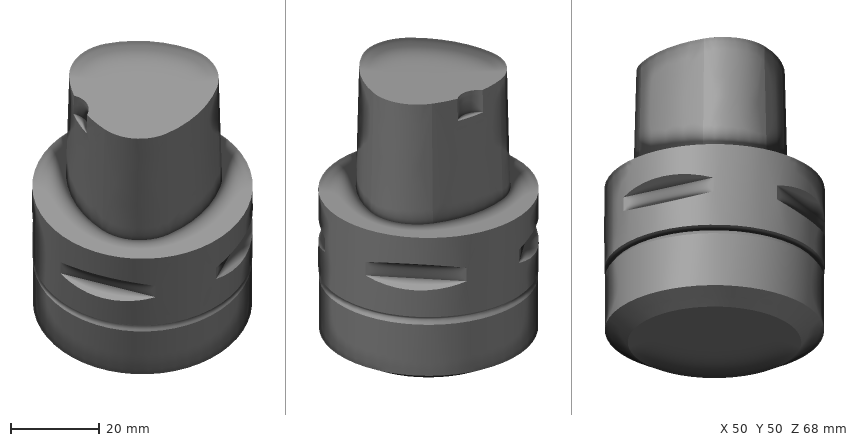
import cadquery as cq
import math

total_height = 68.0
cone_height = 3.0
nut_edge_z = 15.9
nut_top_z = 17.0
collar_bottom_z = 17.95
collar_top_z = 38.0

collar_radius = 50.0 / 2
nut_radius = 49.7 / 2
neck_radius = 40.0 / 2
cone_angle = 30.0
nut_chamfer_width = 0.8

lobe_radius = 12.05
lobe_center_distance = 6.6
flank_distance = 16.4
taper_ratio = 1 / 40

groove_count = 4
groove_start_angle = 45.0
groove_center_z = (collar_bottom_z + collar_top_z) / 2
groove_floor_distance = 22.2
groove_floor_height = 3.4
groove_wall_angle = 30.0

notch_width = 7.2
notch_depth = 5.6
notch_back_y = -13.9
notch_shoulder_y = -15.45


def polar(distance, angle):
    a = math.radians(angle)
    return (distance * math.cos(a), distance * math.sin(a))


def make_body():
    """Nut, neck and collar as one turned profile."""
    bottom_radius = nut_radius - cone_height / math.tan(math.radians(cone_angle))
    profile = [
        (0, 0),
        (bottom_radius, 0),
        (nut_radius, cone_height),
        (nut_radius, nut_edge_z),
        (nut_radius - nut_chamfer_width, nut_top_z),
        (neck_radius, nut_top_z),
        (neck_radius, collar_bottom_z),
        (collar_radius, collar_bottom_z),
        (collar_radius, collar_top_z),
        (0, collar_top_z),
    ]
    return cq.Workplane("XZ").polyline(profile).close().revolve(360, (0, 0), (0, 1))


def shank_section(z, inset):
    """Three lobe arcs joined by three tangent flank arcs, moved inward by inset."""
    gap = flank_distance - lobe_radius
    flank_center_distance = (lobe_center_distance**2 - gap**2) / (2 * gap - lobe_center_distance)
    flank_radius = flank_center_distance + flank_distance

    lobe_x, lobe_y = polar(lobe_center_distance, -30)
    joint_angle = math.degrees(math.atan2(lobe_y - flank_center_distance, lobe_x))
    joint_x, joint_dy = polar(flank_radius - inset, joint_angle)
    joint_y = flank_center_distance + joint_dy
    joint_distance = math.hypot(joint_x, joint_y)
    half_lobe = -30 - math.degrees(math.atan2(joint_y, joint_x))

    lobe_tip = lobe_center_distance + lobe_radius - inset
    section = cq.Workplane("XY", origin=(0, 0, z)).moveTo(*polar(joint_distance, -30 - half_lobe))
    for lobe_angle in (-30, 90, 210):
        section = section.threePointArc(
            polar(lobe_tip, lobe_angle),
            polar(joint_distance, lobe_angle + half_lobe),
        )
        section = section.threePointArc(
            polar(flank_distance - inset, lobe_angle + 60),
            polar(joint_distance, lobe_angle + 120 - half_lobe),
        )
    return section.close().wire().val()


def make_shank():
    top_inset = (total_height - collar_top_z) * taper_ratio
    base = shank_section(collar_top_z, 0)
    top = shank_section(total_height, top_inset)
    return cq.Workplane(cq.Solid.makeLoft([base, top], True))


def make_groove(angle):
    """Straight groove with a flat floor and flaring walls, cut across the collar."""
    floor_half = groove_floor_height / 2
    reach = collar_radius - groove_floor_distance
    mouth_half = floor_half + reach * math.tan(math.radians(groove_wall_angle))
    profile = [
        (groove_floor_distance, groove_center_z - floor_half),
        (collar_radius, groove_center_z - mouth_half),
        (collar_radius, groove_center_z + mouth_half),
        (groove_floor_distance, groove_center_z + floor_half),
    ]
    groove = cq.Workplane("XZ").polyline(profile).close().extrude(collar_radius, both=True)
    return groove.rotate((0, 0, 0), (0, 0, 1), angle)


def make_notch():
    """Arched-back notch, open at the top and toward -Y."""
    half_width = notch_width / 2
    return (
        cq.Workplane("XY", origin=(0, 0, total_height - notch_depth))
        .moveTo(-half_width, -collar_radius)
        .lineTo(-half_width, notch_shoulder_y)
        .threePointArc((0, notch_back_y), (half_width, notch_shoulder_y))
        .lineTo(half_width, -collar_radius)
        .close()
        .extrude(notch_depth)
    )


result = make_body().union(make_shank())
for index in range(groove_count):
    result = result.cut(make_groove(groove_start_angle + index * 360 / groove_count))
result = result.cut(make_notch())